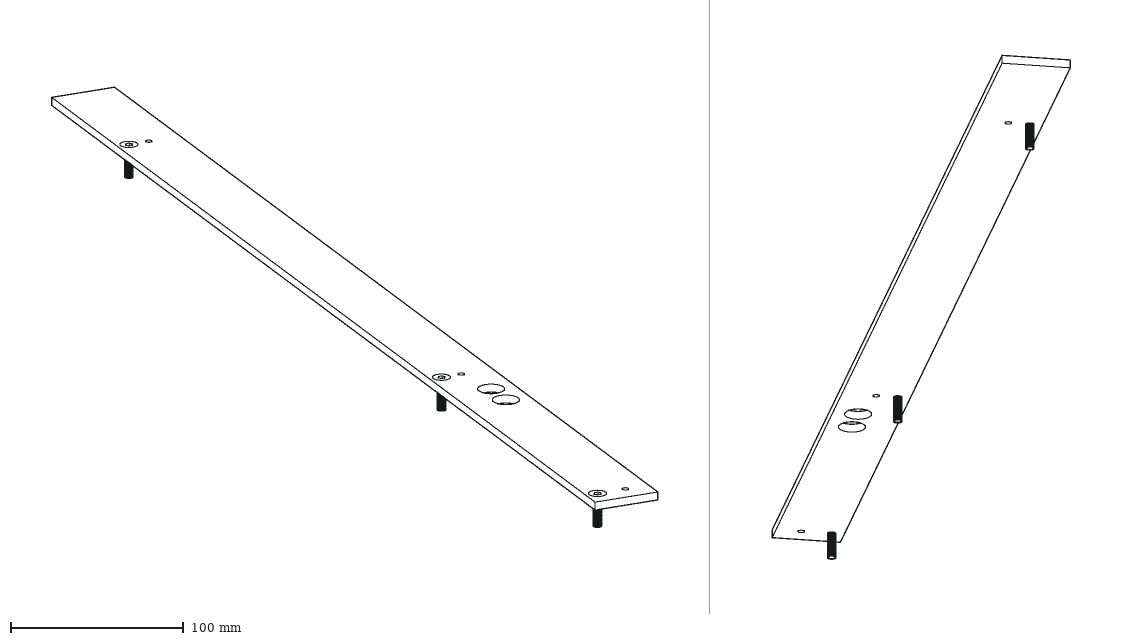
import cadquery as cq

plate_length = 745.0
plate_width = 40.0
plate_thickness = 5.0

screw_length = 20.0
shank_diameter = 5.0
head_diameter = 10.5
head_height = (head_diameter - shank_diameter) / 2
socket_width = 4.0
socket_depth = 2.0
thread_pitch = 0.8
thread_depth = 0.45
thread_count = int((screw_length - plate_thickness) / thread_pitch)

screw_y = 7.5
first_screw_x = 90.0
middle_screw_x = first_screw_x + 428.5
end_screw_x = middle_screw_x + 214.0
screw_xs = [first_screw_x, middle_screw_x, end_screw_x]

small_hole_diameter = 4.0
small_hole_y = plate_width / 2
end_hole_y = 25.0
small_hole_places = [
    (first_screw_x, small_hole_y),
    (middle_screw_x, small_hole_y),
    (end_screw_x, end_hole_y),
]

large_hole_diameter = 16.0
large_hole_pitch = 20.0
large_hole_x = 548.0
large_hole_places = [(large_hole_x, end_hole_y), (large_hole_x + large_hole_pitch, end_hole_y)]


def revolve_at_screw(profile, x):
    """Turn a (radius, height) profile about a screw's axis, height 0 being the top of the plate."""
    turned = cq.Workplane("XZ").polyline(profile).close().revolve(360, (0, 0), (0, 1))
    return turned.translate((x, screw_y, plate_thickness))


def make_screw_blank(x):
    """Plain shank and conical head of one screw, which is also the shape of its seat."""
    shank_radius = shank_diameter / 2
    profile = [
        (0, 0),
        (head_diameter / 2, 0),
        (shank_radius, -head_height),
        (shank_radius, -screw_length),
        (0, -screw_length),
    ]
    return revolve_at_screw(profile, x)


def make_thread_grooves(x):
    """Stack of V-shaped rings that stand for the thread on the shank below the plate."""
    crest_radius = shank_diameter / 2
    root_radius = crest_radius - thread_depth
    outer_radius = shank_diameter
    thread_top = -screw_length + thread_count * thread_pitch
    profile = [(outer_radius, -screw_length), (crest_radius, -screw_length)]
    for turn in range(thread_count):
        groove_bottom = -screw_length + turn * thread_pitch
        profile.append((root_radius, groove_bottom + thread_pitch / 2))
        profile.append((crest_radius, groove_bottom + thread_pitch))
    profile.append((outer_radius, thread_top))
    return revolve_at_screw(profile, x)


def make_screw(x):
    """One countersunk screw with a threaded shank and a hexagon socket in its head."""
    socket = (
        cq.Workplane("XY", origin=(x, screw_y, plate_thickness))
        .polygon(6, socket_width, circumscribed=True)
        .extrude(-socket_depth)
    )
    return make_screw_blank(x).cut(socket).cut(make_thread_grooves(x))


def make_through_holes(places, diameter):
    """Cylinders through the full thickness of the plate."""
    return cq.Workplane("XY").pushPoints(places).circle(diameter / 2).extrude(plate_thickness)


def make_plate():
    """Flat bar with its through holes and the countersunk screw seats."""
    bar = cq.Workplane("XY").box(plate_length, plate_width, plate_thickness, centered=False)
    bar = bar.cut(make_through_holes(small_hole_places, small_hole_diameter))
    bar = bar.cut(make_through_holes(large_hole_places, large_hole_diameter))
    for x in screw_xs:
        bar = bar.cut(make_screw_blank(x))
    return bar


plate = make_plate()
screws = [make_screw(x) for x in screw_xs]

result = cq.Compound.makeCompound([plate.solids().val(), *[screw.solids().val() for screw in screws]])